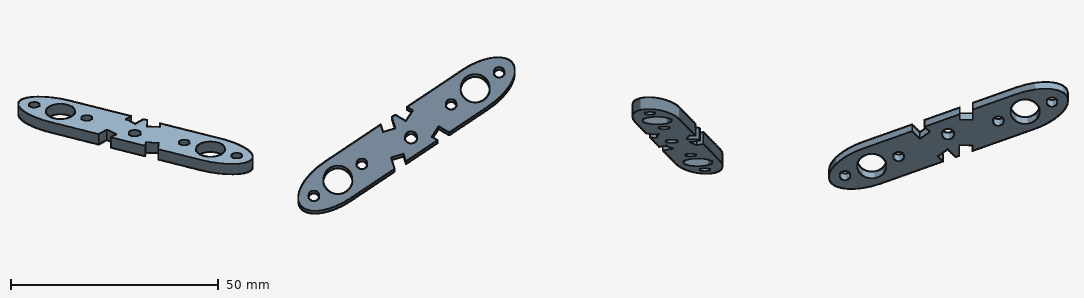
import cadquery as cq
import math

length = 62.0
width = 11.0
thickness = 3.0
end_length = width
straight_length = length - 2 * end_length

large_hole_diameter = 7.0
small_hole_diameter = 2.6
small_hole_offset = 7.0
group_x = straight_length / 2

middle_hole_diameter = 3.0
middle_hole_x = 0.45
middle_hole_y = -1.3

notch_width = 3.1
left_pair_x = -3.85
left_pair_tilt = -17.5
left_floor_spacing = 6.65
right_pair_x = 4.6
right_pair_tilt = 23.5
right_floor_spacing = 7.4


def make_plate():
    ends = (
        cq.Workplane("XY")
        .pushPoints([(-straight_length / 2, 0), (straight_length / 2, 0)])
        .ellipse(end_length, width / 2)
        .extrude(thickness)
    )
    middle = cq.Workplane("XY").rect(straight_length, width).extrude(thickness)
    return middle.union(ends)


def holes(points, diameter):
    return cq.Workplane("XY").pushPoints(points).circle(diameter / 2).extrude(thickness)


def notch_pair(center_x, tilt, floor_spacing):
    """Two facing cutters that run from the notch floors out past both long edges."""
    cutter_length = width
    cutter_center = (floor_spacing + cutter_length) / 2
    angle = math.radians(tilt)
    cutters = cq.Workplane("XY")
    for side in (-1, 1):
        x = center_x - side * cutter_center * math.sin(angle)
        y = side * cutter_center * math.cos(angle)
        cutter = (
            cq.Workplane("XY")
            .transformed(offset=(x, y, 0), rotate=(0, 0, tilt))
            .rect(notch_width, cutter_length)
            .extrude(thickness)
        )
        cutters = cutters.add(cutter)
    return cutters.combine()


result = make_plate()

for x in (-group_x, group_x):
    small_hole_points = [(x - small_hole_offset, 0), (x + small_hole_offset, 0)]
    result = result.cut(holes([(x, 0)], large_hole_diameter))
    result = result.cut(holes(small_hole_points, small_hole_diameter))

result = result.cut(holes([(middle_hole_x, middle_hole_y)], middle_hole_diameter))
result = result.cut(notch_pair(left_pair_x, left_pair_tilt, left_floor_spacing))
result = result.cut(notch_pair(right_pair_x, right_pair_tilt, right_floor_spacing))